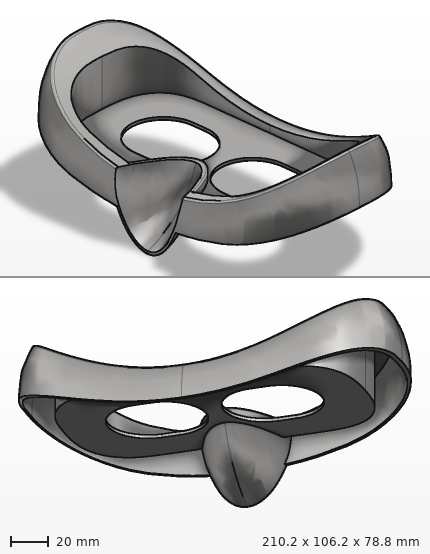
import cadquery as cq
import math

length = 210.0
width = 106.0
sheet = 2.0

straight_half = 45.0
outline_power = 2.5
well_half_length = 82.4
well_half_width = 42.0
well_power = 2.7
end_steps = 5

top_radius = 139.5
top_centre_z = 6.9
bottom_radius = 219.0
bottom_centre_z = -13.4

plumb_height = 4.0
bulge_radius = 55.0
bulge_limit = 34.0
skirt_radius = 118.0
rim_radius = 1.5

eye_spacing = 65.0
eye_length = 55.0
eye_width = 45.0

pivot_y = -58.0
pivot_z = 12.0
nose_half_width = 26.7
nose_reach = 41.18
nose_reach_gain = 3.2
nose_neutral_angle = 42.0
collar_offset = 3.0
collar_radius = 1.0
nose_power_gain = 0.4
nose_fan = (0.0, 22.5, 45.0, 67.5, 90.0)
nose_steps = 5
nose_open_edge = 0.97

nose_low = -40.0
wall_low = -16.0
loft_high = 50.0
loft_levels = 6
far = 400.0


def arc_height(x, radius, centre_z):
    """Height of a mask arc at a distance x from the middle plane."""
    return centre_z + radius - math.sqrt(radius**2 - x**2)


def outline_quarter(half_length, half_width, power):
    """Points and outward normals from the straight run round to the X axis."""
    end_length = half_length - straight_half
    quarter = []
    for step in range(end_steps + 1):
        angle = math.radians(90.0 * (1 - step / end_steps))
        u = max(math.cos(angle), 0.0)**(2 / power)
        v = max(math.sin(angle), 0.0)**(2 / power)
        nx = u**(power - 1) / end_length
        ny = v**(power - 1) / half_width
        size = math.hypot(nx, ny)
        quarter.append((straight_half + end_length * u, half_width * v, nx / size, ny / size))
    return quarter


def half_outline(half_length, half_width, power):
    """Back and front quarters of an outline on the +X side, from the middle of the back."""
    middle = (0.0, half_width, 0.0, 1.0)
    run_midpoint = (straight_half / 2, half_width, 0.0, 1.0)
    right_back = [middle, run_midpoint] + outline_quarter(half_length, half_width, power)
    right_front = [(x, -y, nx, -ny) for x, y, nx, ny in reversed(right_back)]
    return [right_back, right_front]


def level_wire(quarters, z, inset):
    """Half outline at a level, moved inward by inset(x) at each point, closed along X = 0."""
    edges = []
    for quarter in quarters:
        points = []
        for x, y, nx, ny in quarter:
            shift = inset(x)
            points.append(cq.Vector(x - nx * shift, y - ny * shift, z))
        tangents = [cq.Vector(ny, -nx, 0) for x, y, nx, ny in (quarter[0], quarter[-1])]
        edges.append(cq.Edge.makeSpline(points, tangents=tangents))
    edges.append(cq.Edge.makeLine(edges[-1].endPoint(), edges[0].startPoint()))
    return cq.Wire.assembleEdges(edges)


def lean(height):
    """Inward lean of the wall at a height above its lower edge."""
    if height < 0:
        return height**2 / (2 * skirt_radius)
    rise = min(max(height - plumb_height, 0.0), bulge_limit - plumb_height)
    chord = math.sqrt(bulge_radius**2 - rise**2)
    beyond = max(height - bulge_limit, 0.0)
    return bulge_radius - chord + beyond * rise / chord


def bulged_body(inset, low):
    """Half solid inside the bulged wall surface, shrunk by an inset, from a low level up."""
    quarters = half_outline(length / 2, width / 2, outline_power)
    wires = []
    for level in range(loft_levels + 1):
        z = low + (loft_high - low) * level / loft_levels

        def inset_at(x):
            return inset + lean(z - arc_height(x, bottom_radius, bottom_centre_z))

        wires.append(level_wire(quarters, z, inset_at))
    return cq.Workplane(obj=cq.Solid.makeLoft(wires))


def above_arc(radius, centre_z):
    """Everything inside a long cylinder that rests on the arc."""
    return (
        cq.Workplane("XZ")
        .center(0, centre_z + radius)
        .circle(radius)
        .extrude(far / 2, both=True)
    )


def well_block(offset, base_z):
    """Half of an upright block with the plan of the well, grown by an offset."""
    quarters = half_outline(well_half_length, well_half_width, well_power)
    wire = level_wire(quarters, base_z, lambda x: -offset)
    up = cq.Vector(0, 0, far / 4)
    return cq.Workplane(obj=cq.Solid.extrudeLinear(wire, [], up))


def nose_section(angle, offset):
    """Half of an arched section in a plane through the pivot line, closed along X = 0."""
    slope = math.radians(angle)
    turn = (angle - nose_neutral_angle) / nose_neutral_angle
    reach = nose_reach + nose_reach_gain * turn**2 + offset
    half_width = nose_half_width + offset
    power = 1 + nose_power_gain * angle / 90.0
    points = []
    for step in range(nose_steps + 1):
        side = nose_open_edge * step / nose_steps
        distance = reach * (1 - side**2)**(1 / power)
        y = pivot_y + distance * math.cos(slope)
        z = pivot_z - distance * math.sin(slope)
        points.append(cq.Vector(half_width * side, y, z))
    across = cq.Vector(1, 0, 0)
    arch = cq.Edge.makeSpline(points, tangents=[across, points[-1] - points[-2]])
    pivot_end = cq.Vector(0, points[-1].y, points[-1].z)
    corners = [points[-1], pivot_end, points[0]]
    closing = [cq.Edge.makeLine(start, end) for start, end in zip(corners, corners[1:])]
    return cq.Wire.assembleEdges([arch] + closing)


def nose_block(offset):
    """Half of the solid nose form, grown by an offset."""
    wires = [nose_section(angle, offset) for angle in nose_fan]
    return cq.Workplane(obj=cq.Solid.makeLoft(wires))


def nose_collar():
    """Half of an upright block round the nose, from the first fan section down through the floor."""
    down = cq.Vector(0, 0, -pivot_z - sheet)
    return cq.Workplane(obj=cq.Solid.extrudeLinear(nose_section(0, collar_offset), [], down))


def eye_opening():
    """Cutter for the eye opening on the +X side."""
    return (
        cq.Workplane("XY", origin=(0, 0, -sheet))
        .center(eye_spacing / 2, 0)
        .slot2D(eye_length, eye_width)
        .extrude(3 * sheet)
    )


top_side = above_arc(top_radius, top_centre_z)
body = bulged_body(0, nose_low).cut(top_side)
body = body.faces("%CYLINDER").edges("not(<X)").fillet(rim_radius)

under_shelf = bulged_body(sheet, wall_low).cut(above_arc(top_radius + sheet, top_centre_z - sheet))
below_wall = cq.Workplane("XY").box(far, far, far / 4)
below_wall = below_wall.cut(above_arc(bottom_radius, bottom_centre_z))
nose_outside = nose_block(sheet)
hollow = under_shelf.union(below_wall)
hollow = hollow.cut(well_block(sheet, 0)).cut(nose_outside)
body = body.cut(hollow)

face_side = well_block(0, sheet).union(eye_opening()).cut(nose_collar())
body = body.cut(face_side)

collar_zone = cq.selectors.BoxSelector(
    (sheet, -well_half_width, top_centre_z),
    (nose_half_width, pivot_y + nose_reach + nose_reach_gain + collar_offset, pivot_z),
    boundingbox=False,
)
body = body.edges(collar_zone).fillet(collar_radius)

half = body.cut(nose_block(0))

skin = half.faces("not(<X)").vals()
mirrored_skin = [face.mirror("YZ") for face in skin]
shell = cq.Shell.makeShell(skin + mirrored_skin)
result = cq.Workplane(obj=cq.Solid.makeSolid(shell)).clean()